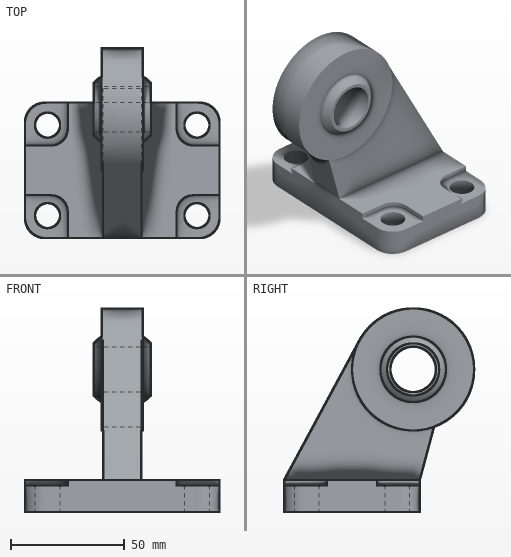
import cadquery as cq
import math

base_length = 86.0
base_depth = 59.9
base_height = 14.2
base_corner_radius = 9.0

hole_diameter = 11.0
hole_pitch_x = 66.0
hole_pitch_y = 40.0
seat_depth = 2.5
seat_reach = 19.0
seat_radius = 7.5

eye_radius = 27.0
eye_width = 18.2
eye_setback = 3.0
eye_height = 63.0

ball_width = 25.3
ball_end_diameter = 23.0
bore_diameter = 20.0

web_width = 16.8
web_rear_lean = 15.0

front_y = -base_depth / 2
rear_y = base_depth / 2
eye_y = rear_y - eye_setback


def x_cylinder(radius, width):
    """Cylinder on the eye axis, centred on X = 0."""
    return (
        cq.Workplane("YZ", origin=(-width / 2, eye_y, eye_height))
        .circle(radius)
        .extrude(width)
    )


def make_base():
    base = (
        cq.Workplane("XY")
        .box(base_length, base_depth, base_height, centered=(True, True, False))
        .edges("|Z")
        .fillet(base_corner_radius)
    )
    for side_x in (-1, 1):
        for side_y in (-1, 1):
            seat = (
                cq.Workplane("XY", origin=(0, 0, base_height - seat_depth))
                .center(side_x * base_length / 2, side_y * base_depth / 2)
                .rect(2 * seat_reach, 2 * seat_reach)
                .extrude(seat_depth)
                .edges("|Z")
                .fillet(seat_radius)
            )
            base = base.cut(seat)
    holes = (
        cq.Workplane("XY")
        .rect(hole_pitch_x, hole_pitch_y, forConstruction=True)
        .vertices()
        .circle(hole_diameter / 2)
        .extrude(base_height)
    )
    return base.cut(holes)


def make_web():
    """Plate whose front face runs from the base edge tangentially onto the eye."""
    run = front_y - eye_y
    drop = base_height - eye_height
    tangent_angle = math.atan2(drop, run) - math.acos(eye_radius / math.hypot(run, drop))
    tangent_point = (
        eye_y + eye_radius * math.cos(tangent_angle),
        eye_height + eye_radius * math.sin(tangent_angle),
    )
    rear_top_y = rear_y + (eye_height - base_height) * math.tan(math.radians(web_rear_lean))
    return (
        cq.Workplane("YZ", origin=(-web_width / 2, 0, 0))
        .moveTo(front_y, base_height)
        .lineTo(*tangent_point)
        .lineTo(eye_y, eye_height)
        .lineTo(rear_top_y, eye_height)
        .lineTo(rear_y, base_height)
        .close()
        .extrude(web_width)
    )


def make_ball():
    """Sphere with flat ends, sized by its width and the diameter of its ends."""
    sphere_radius = math.hypot(ball_end_diameter / 2, ball_width / 2)
    sphere = cq.Workplane("YZ", origin=(0, eye_y, eye_height)).sphere(sphere_radius)
    return sphere.intersect(x_cylinder(sphere_radius, ball_width))


bracket = make_base().union(make_web()).union(x_cylinder(eye_radius, eye_width)).union(make_ball())
result = bracket.cut(x_cylinder(bore_diameter / 2, ball_width))